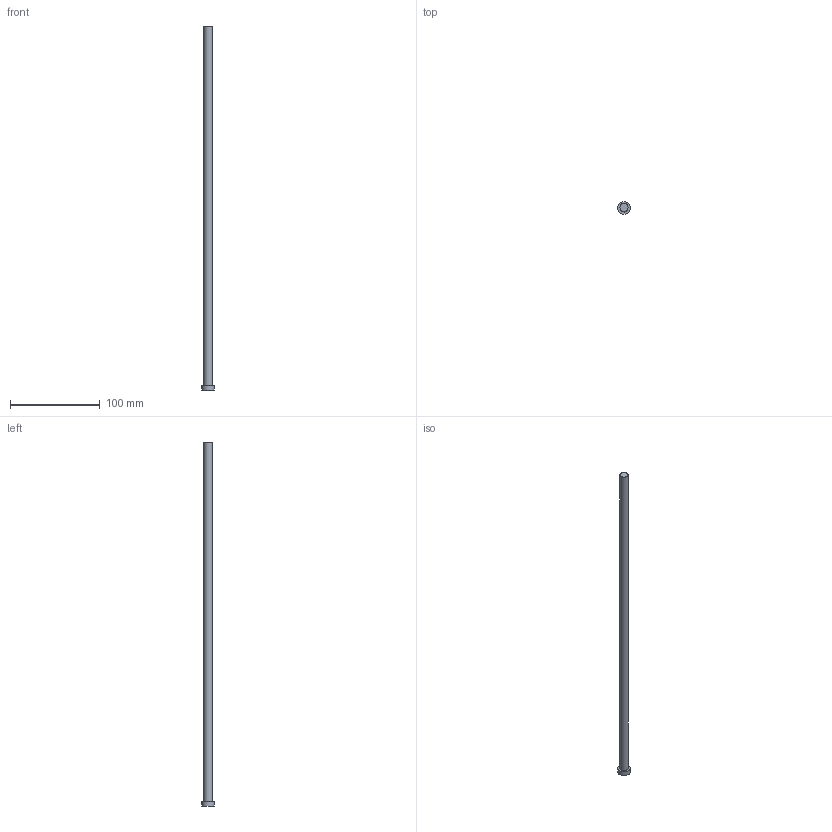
import cadquery as cq

total_length = 405.0
head_diameter = 14.0
head_height = 5.0
shank_diameter = 9.0

shank_length = total_length - head_height

head = cq.Workplane("XY").circle(head_diameter / 2).extrude(head_height)
result = head.faces(">Z").workplane().circle(shank_diameter / 2).extrude(shank_length)